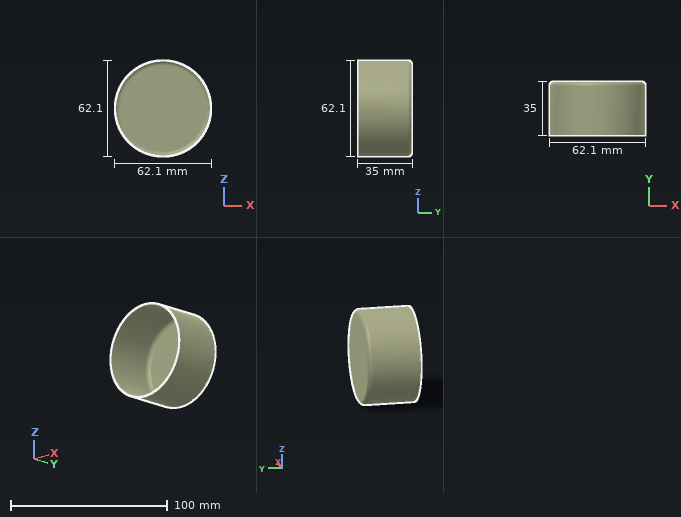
import cadquery as cq

outer_diameter = 62.05
inner_diameter = 61.05
depth = 35.0
outer_corner_radius = 3.0
inner_corner_radius = 3.0

wall = (outer_diameter - inner_diameter) / 2


def rounded_cylinder(diameter, length, corner_radius):
    """Cylinder from the open rim toward +Y, rounded at its far end."""
    cylinder = cq.Workplane("XZ").circle(diameter / 2).extrude(-length)
    return cylinder.faces(">Y").edges().fillet(corner_radius)


body = rounded_cylinder(outer_diameter, depth, outer_corner_radius)
cavity = rounded_cylinder(inner_diameter, depth - wall, inner_corner_radius)

result = body.cut(cavity)